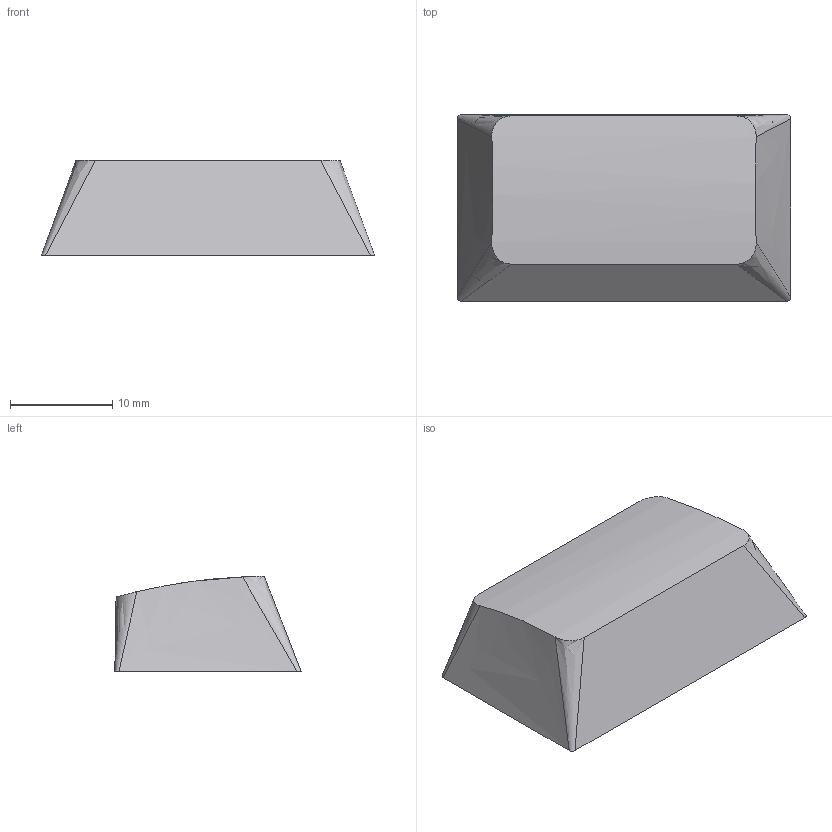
import cadquery as cq
import math

base_width = 32.55
base_depth = 18.2
base_corner_radius = 0.4

rim_width = 26.0
rim_front_y = -5.5
rim_front_z = 9.3
rim_back_y = 8.98
rim_back_z = 7.28
rim_corner_radius = 2.0

crown_rise = 0.49
overshoot = 0.1


def extend(base_value, rim_value):
    """Continue the straight taper from base to rim past the rim."""
    return base_value + (1 + overshoot) * (rim_value - base_value)


def rounded_rectangle(width, depth, corner_radius):
    return cq.Sketch().rect(width, depth).vertices().fillet(corner_radius)


def make_tapered_body():
    """Ruled loft from the base to a tilted section lying above the finished top."""
    front_y = extend(-base_depth / 2, rim_front_y)
    back_y = extend(base_depth / 2, rim_back_y)
    front_z = extend(0, rim_front_z)
    back_z = extend(0, rim_back_z)
    section_depth = math.hypot(back_y - front_y, back_z - front_z)
    tilt = math.degrees(math.atan2(back_z - front_z, back_y - front_y))
    center = cq.Vector(0, (front_y + back_y) / 2, (front_z + back_z) / 2)

    base = rounded_rectangle(base_width, base_depth, base_corner_radius)
    section = rounded_rectangle(
        extend(base_width, rim_width),
        section_depth,
        extend(base_corner_radius, rim_corner_radius),
    )
    placement = cq.Location(center, cq.Vector(1, 0, 0), tilt)
    return cq.Workplane("XY").placeSketch(base, section.moved(placement)).loft(ruled=True)


def make_crown_cylinder():
    """Cylinder along X whose upper side is the convex top face."""
    chord_y = rim_back_y - rim_front_y
    chord_z = rim_back_z - rim_front_z
    chord = math.hypot(chord_y, chord_z)
    radius = (chord / 2) ** 2 / (2 * crown_rise) + crown_rise / 2
    drop = radius - crown_rise
    axis_y = (rim_front_y + rim_back_y) / 2 + drop * chord_z / chord
    axis_z = (rim_front_z + rim_back_z) / 2 - drop * chord_y / chord
    return (
        cq.Workplane("YZ")
        .center(axis_y, axis_z)
        .circle(radius)
        .extrude(base_width, both=True)
    )


result = make_tapered_body().intersect(make_crown_cylinder())